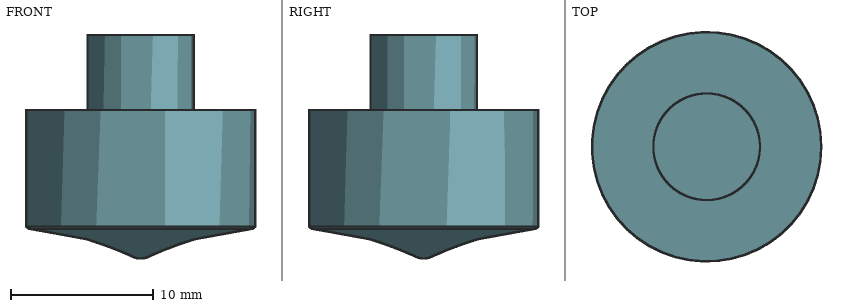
import cadquery as cq

body_diameter = 16.13
stem_diameter = 7.5
total_height = 15.73
body_top = 10.45
body_bottom = 2.26

rim_radius = 7.87
rim_height = 2.1
cone_inner_radius = 3.77
cone_inner_height = 1.35
flare_mid_radius = 2.1
flare_mid_height = 0.77
tip_radius = 0.71
tip_height = 0.21

body_radius = body_diameter / 2
stem_radius = stem_diameter / 2

profile = (
    cq.Workplane("XZ")
    .moveTo(0, total_height)
    .lineTo(stem_radius, total_height)
    .lineTo(stem_radius, body_top)
    .lineTo(body_radius, body_top)
    .lineTo(body_radius, body_bottom)
    .lineTo(rim_radius, rim_height)
    .lineTo(cone_inner_radius, cone_inner_height)
    .threePointArc((flare_mid_radius, flare_mid_height), (tip_radius, tip_height))
    .radiusArc((0, 0), (tip_radius**2 + tip_height**2) / (2 * tip_height))
    .close()
)
result = profile.revolve(360, (0, 0, 0), (0, 1, 0))